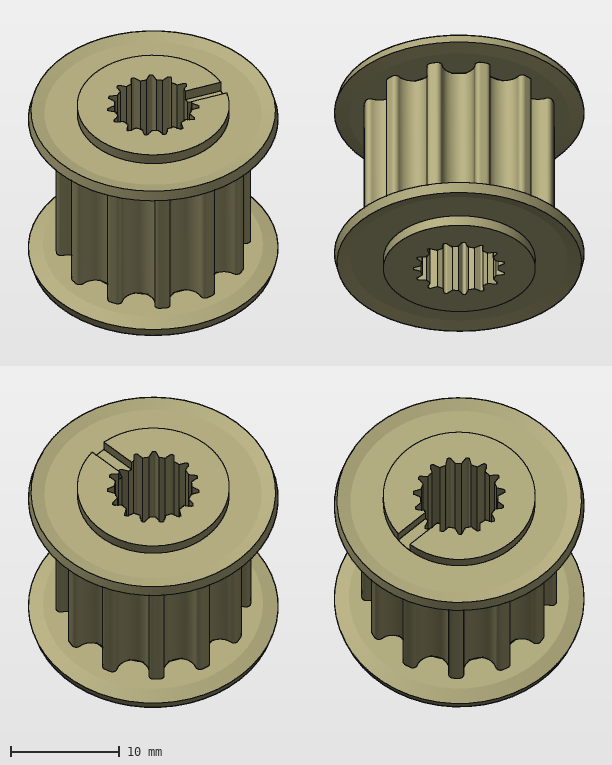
import cadquery as cq
import math

TOTAL_HEIGHT = 19.05
FLANGE_RADIUS = 11.5

BELT_WIDTH = 14.95
BOSS_RADIUS = 7.0
TOOTH_COUNT = 12
TOOTH_TIP_RADIUS = 8.97
GROOVE_RADIUS = 1.52
GROOVE_DEPTH = 2.07
TOOTH_EDGE_ROUND = 0.44

SPLINE_COUNT = 15
BORE_RADIUS = 3.56
SPLINE_RADIUS = 4.23
SPLINE_MOUTH_WIDTH = 0.87
SPLINE_ROOT_WIDTH = 0.28
SPLINE_ROOT_ROUND = 0.15

SLOT_WIDTH = 1.59

FLANGE_THICKNESS = 1.0
LIP_ANGLE = 15.0
LIP_BEND_RADIUS = 10.12

flange_inner_z = BELT_WIDTH / 2
flange_outer_z = flange_inner_z + FLANGE_THICKNESS
boss_end_z = TOTAL_HEIGHT / 2


def belt_groove():
    """Cutter for one belt groove, on the +X side: a round floor blended into rounded tooth edges."""
    floor_radius = TOOTH_TIP_RADIUS - GROOVE_DEPTH
    groove_center = floor_radius + GROOVE_RADIUS

    round_distance = TOOTH_TIP_RADIUS - TOOTH_EDGE_ROUND
    center_distance = GROOVE_RADIUS + TOOTH_EDGE_ROUND
    round_x = (round_distance**2 + groove_center**2 - center_distance**2) / (2 * groove_center)
    round_y = math.sqrt(round_distance**2 - round_x**2)

    blend_x = groove_center + (round_x - groove_center) * GROOVE_RADIUS / center_distance
    blend_y = round_y * GROOVE_RADIUS / center_distance
    edge_x = round_x * TOOTH_TIP_RADIUS / round_distance
    edge_y = round_y * TOOTH_TIP_RADIUS / round_distance

    blend_angle = math.atan2(blend_y - round_y, blend_x - round_x)
    edge_angle = math.atan2(round_y, round_x)
    middle_angle = (blend_angle + edge_angle) / 2
    middle_x = round_x + TOOTH_EDGE_ROUND * math.cos(middle_angle)
    middle_y = round_y + TOOTH_EDGE_ROUND * math.sin(middle_angle)

    open_x = TOOTH_TIP_RADIUS + GROOVE_DEPTH
    return (
        cq.Workplane("XY", origin=(0, 0, -flange_inner_z))
        .moveTo(open_x, -edge_y)
        .lineTo(edge_x, -edge_y)
        .threePointArc((middle_x, -middle_y), (blend_x, -blend_y))
        .threePointArc((floor_radius, 0), (blend_x, blend_y))
        .threePointArc((middle_x, middle_y), (edge_x, edge_y))
        .lineTo(open_x, edge_y)
        .close()
        .extrude(BELT_WIDTH)
    )


def toothed_core():
    """Solid core: two end bosses and a drum with belt grooves only between the flanges."""
    core = cq.Workplane("XY", origin=(0, 0, -boss_end_z)).circle(BOSS_RADIUS).extrude(TOTAL_HEIGHT)
    drum = cq.Workplane("XY", origin=(0, 0, -flange_inner_z)).circle(TOOTH_TIP_RADIUS).extrude(BELT_WIDTH)
    core = core.union(drum)
    groove = belt_groove()
    for index in range(TOOTH_COUNT):
        core = core.cut(groove.rotate((0, 0, 0), (0, 0, 1), index * 360 / TOOTH_COUNT))
    return core


def splined_bore():
    """Cutter for the bore: a round hole with tapered grooves, one of them towards +Y."""
    base_z = -boss_end_z
    cutter = cq.Workplane("XY", origin=(0, 0, base_z)).circle(BORE_RADIUS).extrude(TOTAL_HEIGHT)
    taper = (SPLINE_MOUTH_WIDTH - SPLINE_ROOT_WIDTH) / (SPLINE_RADIUS - BORE_RADIUS)
    start_radius = BORE_RADIUS - SPLINE_MOUTH_WIDTH / 2
    start_width = SPLINE_MOUTH_WIDTH + taper * (BORE_RADIUS - start_radius)
    groove = (
        cq.Workplane("XY", origin=(0, 0, base_z))
        .moveTo(-start_width / 2, start_radius)
        .lineTo(start_width / 2, start_radius)
        .lineTo(SPLINE_ROOT_WIDTH / 2, SPLINE_RADIUS)
        .lineTo(-SPLINE_ROOT_WIDTH / 2, SPLINE_RADIUS)
        .close()
        .extrude(TOTAL_HEIGHT)
        .faces(">Y")
        .edges("|Z")
        .fillet(SPLINE_ROOT_ROUND)
    )
    for index in range(SPLINE_COUNT):
        cutter = cutter.union(groove.rotate((0, 0, 0), (0, 0, 1), index * 360 / SPLINE_COUNT))
    return cutter


def alignment_slot():
    """Cutter for the slot from the bore to the +Y side, down to the flange face."""
    return cq.Workplane("XY").box(
        SLOT_WIDTH, BOSS_RADIUS, boss_end_z - flange_outer_z, centered=(True, False, False)
    ).translate((0, 0, flange_outer_z))


def make_hub():
    """Toothed hub with its splined bore and alignment slot."""
    return toothed_core().cut(splined_bore()).cut(alignment_slot())


def make_flange():
    """Upper flange: flat around the boss, with the lip rising away from the belt."""
    lip = math.radians(LIP_ANGLE)
    lip_rise = (FLANGE_RADIUS - LIP_BEND_RADIUS) * math.tan(lip)
    return (
        cq.Workplane("XZ")
        .moveTo(BOSS_RADIUS, flange_inner_z)
        .lineTo(LIP_BEND_RADIUS, flange_inner_z)
        .lineTo(FLANGE_RADIUS, flange_inner_z + lip_rise)
        .lineTo(
            FLANGE_RADIUS - FLANGE_THICKNESS * math.sin(lip),
            flange_inner_z + lip_rise + FLANGE_THICKNESS * math.cos(lip),
        )
        .lineTo(LIP_BEND_RADIUS - FLANGE_THICKNESS * math.tan(lip / 2), flange_outer_z)
        .lineTo(BOSS_RADIUS, flange_outer_z)
        .close()
        .revolve(360, (0, 0, 0), (0, 1, 0))
    )


hub = make_hub()

flanges = []
for turn in (0, 180):
    flanges.append(make_flange().rotate((0, 0, 0), (1, 0, 0), turn))

result = cq.Compound.makeCompound([hub.val(), *[flange.val() for flange in flanges]])